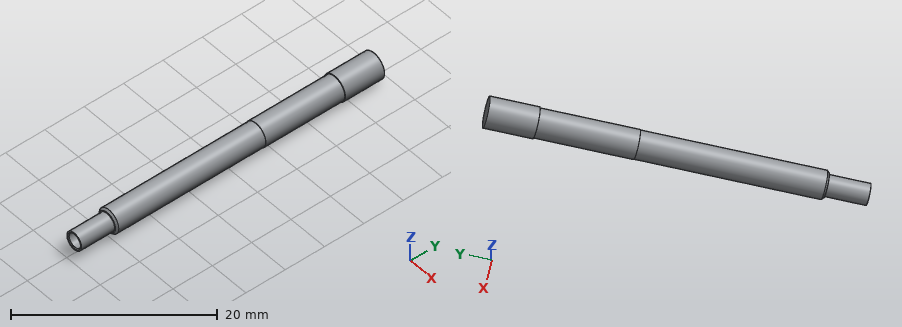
import cadquery as cq
import math

length = 38.1
tip_y = -length / 2
tail_y = length / 2

collar_diameter = 3.2
head_diameter = 3.0
body_diameter = 2.95
tip_diameter = 2.2
bore_diameter = 1.7
mouth_diameter = 1.9

collar_length = 5.0
head_length = 10.02
tip_length = 4.2
shoulder_chamfer = 0.23

bore_depth = 2.8
drill_point_angle = 118.0


def radial_profile():
    """Half section of the pin, radius along X and pin axis along Y."""
    collar_radius = collar_diameter / 2
    head_radius = head_diameter / 2
    body_radius = body_diameter / 2
    tip_radius = tip_diameter / 2
    bore_radius = bore_diameter / 2
    mouth_radius = mouth_diameter / 2
    collar_y = tail_y - collar_length
    head_y = collar_y - head_length
    shoulder_y = tip_y + tip_length
    bore_end_y = tip_y + bore_depth
    mouth_depth = mouth_radius - bore_radius
    point_length = bore_radius / math.tan(math.radians(drill_point_angle / 2))
    return (
        cq.Workplane("XY")
        .moveTo(0, tail_y)
        .lineTo(collar_radius, tail_y)
        .lineTo(collar_radius, collar_y)
        .lineTo(head_radius, collar_y)
        .lineTo(head_radius, head_y)
        .lineTo(body_radius, head_y)
        .lineTo(body_radius, shoulder_y + shoulder_chamfer)
        .lineTo(body_radius - shoulder_chamfer, shoulder_y)
        .lineTo(tip_radius, shoulder_y)
        .lineTo(tip_radius, tip_y)
        .lineTo(mouth_radius, tip_y)
        .lineTo(bore_radius, tip_y + mouth_depth)
        .lineTo(bore_radius, bore_end_y)
        .lineTo(0, bore_end_y + point_length)
        .close()
    )


result = radial_profile().revolve(360, (0, 0, 0), (0, 1, 0))